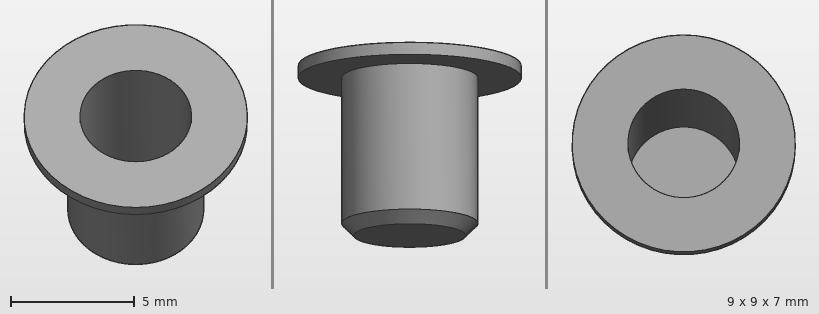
import cadquery as cq

flange_diameter = 9.0
body_diameter = 5.5
bore_diameter = 4.5
total_height = 7.0

wall = (body_diameter - bore_diameter) / 2
flange_thickness = wall
floor_thickness = wall
chamfer_size = wall

body = (
    cq.Workplane("XY")
    .circle(body_diameter / 2)
    .extrude(total_height)
    .faces("<Z")
    .chamfer(chamfer_size)
)

flange = (
    cq.Workplane("XY")
    .workplane(offset=total_height - flange_thickness)
    .circle(flange_diameter / 2)
    .extrude(flange_thickness)
)

bore = (
    cq.Workplane("XY")
    .workplane(offset=floor_thickness)
    .circle(bore_diameter / 2)
    .extrude(total_height - floor_thickness)
)

result = body.union(flange).cut(bore)